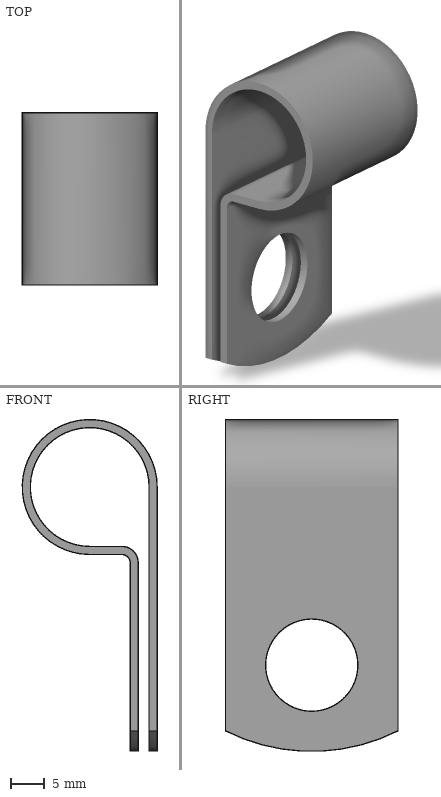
import cadquery as cq
import math

height = 48.85
width = 25.4
loop_diameter = 19.85
thickness = 1.2
leg_gap = 1.55
bend_inner_radius = 1.2
hole_diameter = 13.55
hole_height = 12.7
end_sagitta = 3.05

outer_radius = loop_diameter / 2
inner_radius = outer_radius - thickness
loop_z = height - outer_radius
bend_outer_radius = bend_inner_radius + thickness
short_leg_right = inner_radius - leg_gap
short_leg_left = short_leg_right - thickness
bend_x = short_leg_right - bend_outer_radius
shelf_top = loop_z - inner_radius
shelf_bottom = loop_z - outer_radius
bend_z = shelf_top - bend_outer_radius
diagonal = math.sqrt(0.5)


def strap():
    """Bent strip: long leg, three-quarter loop, short shelf, bend and short leg."""
    outer_diagonal = outer_radius * diagonal
    inner_diagonal = inner_radius * diagonal
    bend_outer_diagonal = bend_outer_radius * diagonal
    bend_inner_diagonal = bend_inner_radius * diagonal
    return (
        cq.Workplane("XZ")
        .moveTo(outer_radius, 0)
        .lineTo(outer_radius, loop_z)
        .threePointArc((-outer_diagonal, loop_z + outer_diagonal), (0, shelf_bottom))
        .lineTo(bend_x, shelf_bottom)
        .threePointArc(
            (bend_x + bend_inner_diagonal, bend_z + bend_inner_diagonal),
            (short_leg_left, bend_z),
        )
        .lineTo(short_leg_left, 0)
        .lineTo(short_leg_right, 0)
        .lineTo(short_leg_right, bend_z)
        .threePointArc(
            (bend_x + bend_outer_diagonal, bend_z + bend_outer_diagonal),
            (bend_x, shelf_top),
        )
        .lineTo(0, shelf_top)
        .threePointArc((-inner_diagonal, loop_z + inner_diagonal), (inner_radius, loop_z))
        .lineTo(inner_radius, 0)
        .close()
        .extrude(width / 2, both=True)
    )


def rounded_end_envelope():
    """Block around the strap whose lower face is the shallow arc of the leg ends."""
    return (
        cq.Workplane("YZ")
        .moveTo(-width / 2, height)
        .lineTo(-width / 2, end_sagitta)
        .threePointArc((0, 0), (width / 2, end_sagitta))
        .lineTo(width / 2, height)
        .close()
        .extrude(loop_diameter, both=True)
    )


def bolt_hole():
    """Cylinder passing through both legs along X."""
    return (
        cq.Workplane("YZ")
        .center(0, hole_height)
        .circle(hole_diameter / 2)
        .extrude(loop_diameter, both=True)
    )


result = strap().intersect(rounded_end_envelope()).cut(bolt_hole())